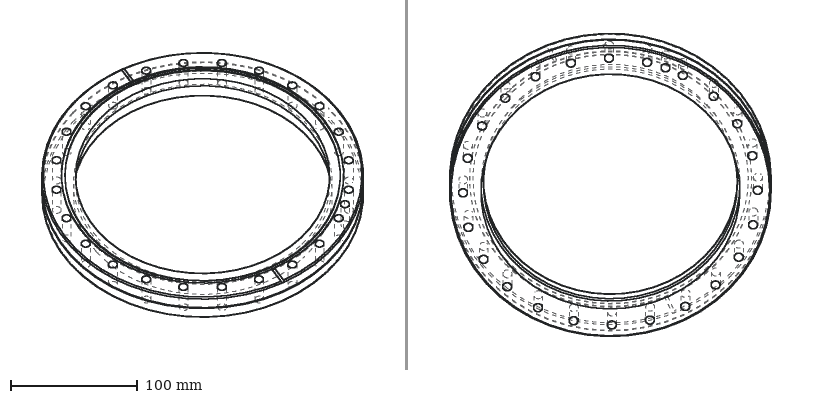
import cadquery as cq
import math

outer_radius = 126.6
bore_radius = 100.0
socket_radius = 102.0
socket_height = 14.5
height = 24.5
rim_chamfer = 1.2

rim_groove_width = 0.8
rim_groove_depth = 0.2

recess_radius = 111.1
recess_depth = 1.4
knife_radius = 108.4
knife_tip_depth = 0.3
inner_face_depth = 1.3

bolt_circle_radius = 116.0
bolt_hole_diameter = 7.0
bolt_count = 24
bolt_pitch_angle = 360 / bolt_count
extra_hole_gap = 3
extra_hole_angle = (extra_hole_gap + 0.5) * bolt_pitch_angle

leak_groove_radius = 1.15
leak_groove_angle = bolt_pitch_angle / 2
leak_groove_angles = [leak_groove_angle, leak_groove_angle + 180]


def make_ring():
    """Revolve the section, with the knife edge standing up inside the recess."""
    mid_height = height / 2
    half_groove = rim_groove_width / 2
    groove_floor_radius = outer_radius - rim_groove_depth
    section = [
        (socket_radius, 0),
        (outer_radius - rim_chamfer, 0),
        (outer_radius, rim_chamfer),
        (outer_radius, mid_height - half_groove),
        (groove_floor_radius, mid_height - half_groove),
        (groove_floor_radius, mid_height + half_groove),
        (outer_radius, mid_height + half_groove),
        (outer_radius, height - rim_chamfer),
        (outer_radius - rim_chamfer, height),
        (recess_radius, height),
        (recess_radius, height - recess_depth),
        (knife_radius, height - knife_tip_depth),
        (knife_radius, height - inner_face_depth),
        (bore_radius, height - inner_face_depth),
        (bore_radius, socket_height),
        (socket_radius, socket_height),
    ]
    return cq.Workplane("XZ").polyline(section).close().revolve(360, (0, 0), (0, 1))


def make_bolt_holes():
    """Through holes on the bolt circle, plus the extra one."""
    angles = [i * bolt_pitch_angle for i in range(bolt_count)]
    angles.append(extra_hole_angle)
    centres = []
    for angle in angles:
        turn = math.radians(angle)
        centres.append((bolt_circle_radius * math.cos(turn), bolt_circle_radius * math.sin(turn)))
    return cq.Workplane("XY").pushPoints(centres).circle(bolt_hole_diameter / 2).extrude(height)


def make_leak_groove(angle):
    """Radial bar, centred on the top face, from the recess wall out past the rim."""
    return (
        cq.Workplane("YZ", origin=(recess_radius, 0, 0))
        .center(0, height)
        .circle(leak_groove_radius)
        .extrude(outer_radius - recess_radius + rim_chamfer)
        .rotate((0, 0, 0), (0, 0, 1), angle)
    )


result = make_ring().cut(make_bolt_holes())
for groove_angle in leak_groove_angles:
    result = result.cut(make_leak_groove(groove_angle))